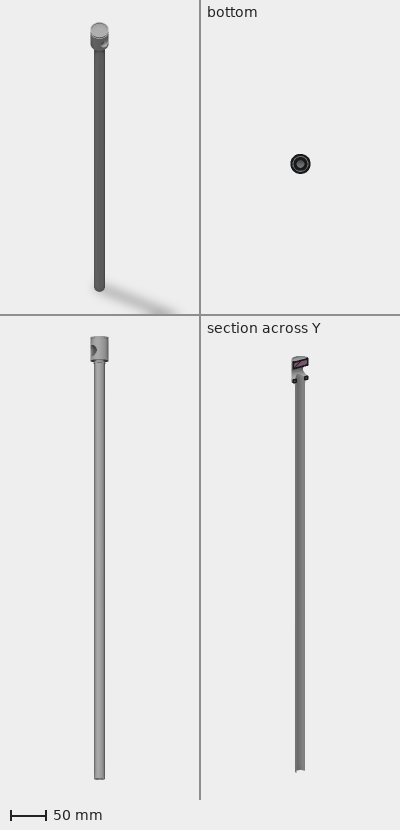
import cadquery as cq

total_length = 633.5
head_diameter = 26.0
head_height = 33.5
top_recess_diameter = 23.0
top_recess_depth = 1.5
groove_diameter = 24.0
groove_width = 2.0
groove_depth_from_top = 2.0
tube_outer_diameter = 15.0
tube_inner_diameter = 13.5
cross_hole_diameter = 16.5
cross_hole_depth_from_top = 20.0
collar_diameter = 17.0
collar_thickness = 1.0
collar_gap = 3.0

top_z = total_length / 2
bottom_z = top_z - total_length
head_bottom_z = top_z - head_height
collar_bottom_z = head_bottom_z - collar_gap - collar_thickness
groove_bottom_z = top_z - groove_depth_from_top - groove_width
cross_hole_z = top_z - cross_hole_depth_from_top


def upright_cylinder(diameter, base_z, height):
    """Cylinder on the Z axis standing on base_z."""
    return cq.Workplane("XY").workplane(offset=base_z).circle(diameter / 2).extrude(height)


def make_head():
    """Cylindrical head with a shallow recess in its top and a groove around its side."""
    head = upright_cylinder(head_diameter, head_bottom_z, head_height)
    recess = upright_cylinder(top_recess_diameter, top_z - top_recess_depth, top_recess_depth)
    groove_outside = upright_cylinder(head_diameter, groove_bottom_z, groove_width)
    groove_core = upright_cylinder(groove_diameter, groove_bottom_z, groove_width)
    return head.cut(recess).cut(groove_outside.cut(groove_core))


def make_tube_outside():
    """Outside of the long tube, from the lower end up to the head."""
    return upright_cylinder(tube_outer_diameter, bottom_z, head_bottom_z - bottom_z)


def make_collar():
    """Thin ring around the tube just below the head."""
    return upright_cylinder(collar_diameter, collar_bottom_z, collar_thickness)


def make_tube_bore():
    """Bore of the tube, open at the lower end and running up into the cross hole."""
    return upright_cylinder(tube_inner_diameter, bottom_z, cross_hole_z - bottom_z)


def make_cross_hole():
    """Bore along X through the whole head."""
    bore = cq.Workplane("YZ").center(0, cross_hole_z).circle(cross_hole_diameter / 2)
    return bore.extrude(head_diameter, both=True)


solid_body = make_head().union(make_tube_outside()).union(make_collar())
result = solid_body.cut(make_tube_bore()).cut(make_cross_hole())